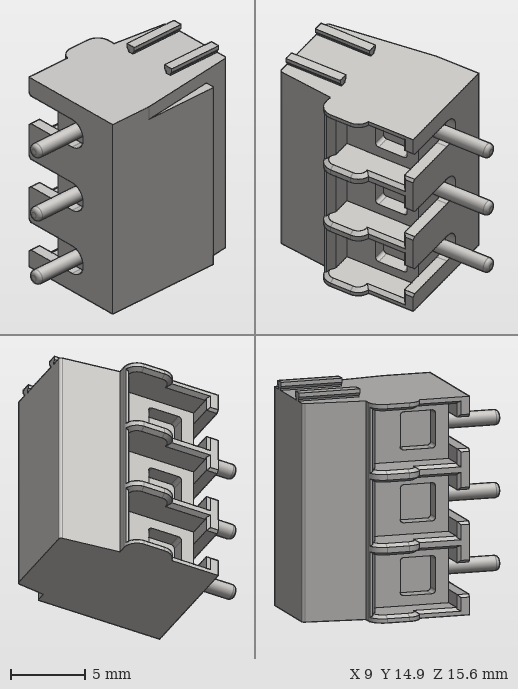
import cadquery as cq
import math


pole_count = 3
pole_pitch = 5.0
body_height = pole_count * pole_pitch
pole_heights = [(i + 0.5) * pole_pitch for i in range(pole_count)]

body_width = 8.25
body_length = 11.4
flange_reach = 0.75
flange_back = 7.08
flange_radius = 1.0
flange_straight_start = 4.52
taper_start_left = 0.8
back_left = 1.31
back_right = 7.24
taper_start_right_y = 3.33
back_corner_radius = 0.2

shoulder_back = 9.3
shoulder_drop = 1.0
shoulder_corner_radius = 0.1

bay_floor_x = 1.98
bay_front = 0.81
bay_back = 6.51
bay_lip_y = 6.87
bay_slope_x = 0.6
end_wall = 0.5
middle_wall = 0.8
rim_chamfer = 0.2
fin_bevel_width = 0.35

window_length = 2.49
window_height = 2.62
window_center_y = 2.99
window_depth = 1.01
window_radius = 0.25

pin_x = 4.25
pin_diameter = 1.05
pin_reach = 3.5
pin_tip_radius = 0.31
slot_width = 2.18
slot_mouth_bevel = 0.19

rail_centers_x = [2.41, 6.1]
rail_height = 0.58
rail_stem_height = 0.11
rail_head_height = 0.28
rail_stem_width = 0.44
rail_head_width = 0.72

overlap = 0.78


def extrude_outline(bottom, height):
    """Prism of the body outline: rounded flange at -X, tapered sides at the back."""
    arc_center_x = flange_radius - flange_reach
    upper_center_y = flange_back - flange_radius
    diagonal = flange_radius * math.sqrt(0.5)
    upper_middle = (arc_center_x - diagonal, upper_center_y + diagonal)

    sweep = math.acos(arc_center_x / flange_radius)
    front_middle = (
        arc_center_x - flange_radius * math.cos(sweep / 2),
        flange_straight_start - flange_radius * math.sin(sweep / 2),
    )
    front_end = (0, flange_straight_start - flange_radius * math.sin(sweep))
    return (
        cq.Workplane("XY", origin=(0, 0, bottom))
        .moveTo(0, 0)
        .lineTo(body_width, 0)
        .lineTo(body_width, taper_start_right_y)
        .lineTo(back_right, body_length)
        .lineTo(back_left, body_length)
        .lineTo(taper_start_left, flange_back)
        .lineTo(arc_center_x, flange_back)
        .threePointArc(upper_middle, (-flange_reach, upper_center_y))
        .lineTo(-flange_reach, flange_straight_start)
        .threePointArc(front_middle, front_end)
        .close()
        .extrude(height)
    )


def make_body():
    body = extrude_outline(0, body_height)
    return body.faces(">Y").edges("|Z").fillet(back_corner_radius)


def make_shoulder():
    """Block filling the right-hand taper, kept below the top face."""
    start_x = back_right - overlap
    return (
        cq.Workplane("XY")
        .moveTo(start_x, taper_start_right_y)
        .lineTo(body_width, taper_start_right_y)
        .lineTo(body_width, shoulder_back)
        .lineTo(start_x, shoulder_back)
        .close()
        .extrude(body_height - shoulder_drop)
        .edges("|Z and >X and >Y")
        .fillet(shoulder_corner_radius)
    )


def bay_limits(index):
    """Bottom and top height of one bay."""
    bottom_wall = end_wall if index == 0 else middle_wall / 2
    top_wall = end_wall if index == pole_count - 1 else middle_wall / 2
    return index * pole_pitch + bottom_wall, (index + 1) * pole_pitch - top_wall


def make_bay(index):
    """Cutter for one bay, flared at its mouth to bevel the front wall and both fins."""
    bottom, top = bay_limits(index)
    outside_x = -flange_reach - overlap
    bay = (
        cq.Workplane("XY", origin=(0, 0, bottom - rim_chamfer))
        .moveTo(outside_x, bay_front - rim_chamfer)
        .lineTo(0, bay_front - rim_chamfer)
        .lineTo(rim_chamfer, bay_front)
        .lineTo(bay_floor_x, bay_front)
        .lineTo(bay_floor_x, bay_back)
        .lineTo(bay_slope_x, bay_back)
        .lineTo(0, bay_lip_y)
        .lineTo(0, flange_back)
        .lineTo(outside_x, flange_back)
        .close()
        .extrude(top - bottom + 2 * rim_chamfer)
    )
    fin_depth = 2 * rim_chamfer
    fin_below = extrude_outline(bottom - fin_depth, fin_depth)
    fin_below = fin_below.faces(">Z").edges().chamfer(rim_chamfer, fin_bevel_width)
    fin_above = extrude_outline(top, fin_depth)
    fin_above = fin_above.faces("<Z").edges().chamfer(rim_chamfer, fin_bevel_width)
    return bay.cut(fin_below).cut(fin_above)


def make_slot(height):
    """Round-ended slot through the front wall, flared where it opens at x = 0."""
    half = slot_width / 2
    flared = half + slot_mouth_bevel
    return (
        cq.Workplane("XZ", origin=(0, 0, height))
        .moveTo(0, -flared)
        .lineTo(slot_mouth_bevel, -half)
        .lineTo(pin_x, -half)
        .threePointArc((pin_x + half, 0), (pin_x, half))
        .lineTo(slot_mouth_bevel, half)
        .lineTo(0, flared)
        .close()
        .extrude(-bay_front)
    )


def make_window(height):
    return (
        cq.Workplane("YZ", origin=(bay_floor_x, window_center_y, height))
        .rect(window_length, window_height)
        .extrude(window_depth)
        .edges("|X")
        .fillet(window_radius)
    )


def make_pin(height):
    return (
        cq.Workplane("XZ", origin=(pin_x, bay_front, height))
        .circle(pin_diameter / 2)
        .extrude(bay_front + pin_reach)
        .faces("<Y")
        .edges()
        .fillet(pin_tip_radius)
    )


def make_rail(center_x):
    """Rail with a narrow stem widening to a flat head."""
    stem = rail_stem_width / 2
    head = rail_head_width / 2
    head_bottom = rail_height - rail_head_height
    return (
        cq.Workplane("XZ", origin=(center_x, body_length, body_height))
        .polyline([
            (-stem, 0),
            (stem, 0),
            (stem, rail_stem_height),
            (head, head_bottom),
            (head, rail_height),
            (-head, rail_height),
            (-head, head_bottom),
            (-stem, rail_stem_height),
        ])
        .close()
        .extrude(body_length - flange_back)
    )


result = make_body().union(make_shoulder())
for pole in range(pole_count):
    result = result.cut(make_bay(pole))

for pole_height in pole_heights:
    result = result.cut(make_slot(pole_height))
    result = result.cut(make_window(pole_height))
    result = result.union(make_pin(pole_height))

for rail_x in rail_centers_x:
    result = result.union(make_rail(rail_x))